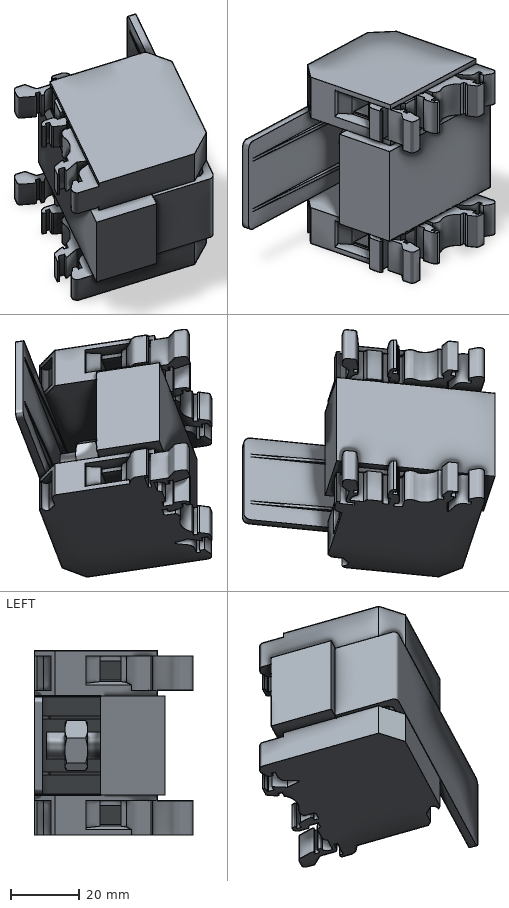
import cadquery as cq
import math

length = 68.0
back_y = 46.4

body_height = 10.05
plate_height = 1.55
block_height = 29.05
lower_plate_z = body_height
block_z = lower_plate_z + plate_height
middle_plate_z = block_z + block_height
upper_body_z = middle_plate_z + plate_height
upper_plate_z = upper_body_z + body_height
mid_z = block_z + block_height / 2

left_x = 24.35
right_x = 64.2
front_y = 10.5
corner_cut = 6.0
root_y = 10.8
hook_top_y = 18.0
groove_step_y = 41.55
seat_gap_y = 11.55

block_left_x = 21.0
block_front_y = 8.15
block_back_y = 27.0

bracket_height = 28.5
bracket_right_x = 64.95
bracket_wall = 2.05
bracket_plate = 2.3
bracket_outer_radius = 1.55
bracket_inner_radius = 2.05
tab_corner_radius = 2.0
bracket_z = mid_z - bracket_height / 2

rib_width = 0.95
rib_spacing = 16.3
rib_start_x = 2.1
rib_slope = 0.036

stud_diameter = 8.0
stud_top_y = 42.8
nut_across_flats = 12.9
nut_height = 6.65
nut_bottom_y = 30.8
nut_turn = 16.5
nut_chamfer_angle = 30.0

entry_floor = 1.55
slot_floor = 2.6
slot_x = 27.2
tunnel_x = 28.15
tunnel_depth = 6.8
tunnel_front_y = 21.0
tunnel_back_y = 27.2
tunnel_floor = 3.05
tunnel_ceiling = 8.65


def body_outline():
    """Plan of a terminal body, counter-clockwise from its back left corner."""
    outline = cq.Workplane("XY").moveTo(left_x + corner_cut, back_y)

    outline = outline.lineTo(29.4, 45.55)
    outline = outline.threePointArc((30.3, 45.3), (30.95, 44.4))
    outline = outline.lineTo(31.1, 43.7)
    outline = outline.lineTo(29.0, groove_step_y)
    outline = outline.lineTo(left_x + groove_step_y - (back_y - corner_cut), groove_step_y)
    outline = outline.lineTo(left_x, back_y - corner_cut)

    outline = outline.lineTo(left_x, hook_top_y)
    outline = outline.lineTo(23.3, 17.4)
    outline = outline.threePointArc((22.2, 16.5), (21.7, 15.5))
    outline = outline.polyline([(21.7, 12.25), (22.0, 11.9), (22.7, 11.9), (22.7, 13.0),
                                (slot_x, 13.0), (slot_x, 12.0), (25.3, 12.0)], includeCurrent=True)

    outline = outline.threePointArc((24.6, 11.7), (left_x, 11.0))
    outline = outline.lineTo(left_x, 6.7)
    outline = outline.threePointArc((24.3, 6.4), (24.1, 6.05))
    outline = outline.lineTo(21.95, 3.95)
    outline = outline.threePointArc((21.75, 3.75), (21.7, 3.5))
    outline = outline.lineTo(21.7, 0.95)
    outline = outline.threePointArc((22.0, 0.35), (22.65, 0))
    outline = outline.lineTo(24.6, 0)
    outline = outline.threePointArc((25.3, 0.3), (25.65, 0.8))
    outline = outline.polyline([(26.7, 4.75), (26.7, 5.4), (25.7, 5.4), (25.7, 6.7), (26.85, 6.7), (27.1, 6.5),
                                (27.1, 7.75), (26.5, 7.95)], includeCurrent=True)
    outline = outline.threePointArc((25.8, 9.0), (25.5, root_y))

    outline = outline.polyline([(29.45, root_y), (30.25, 9.6), (34.7, 9.6), (35.2, root_y)],
                               includeCurrent=True)

    outline = outline.polyline([(36.9, root_y), (36.9, 7.95), (36.0, 7.4), (36.0, 4.6)], includeCurrent=True)
    outline = outline.threePointArc((36.25, 3.7), (36.85, 2.9))
    outline = outline.polyline([(37.75, 2.85), (38.1, 3.95), (37.8, 4.2), (37.1, 4.2), (37.1, 5.4), (38.6, 5.4),
                                (39.0, 6.0), (39.65, 8.2), (39.8, 9.65), (39.4, 10.1), (38.55, 10.1),
                                (38.55, seat_gap_y)], includeCurrent=True)

    outline = outline.lineTo(40.45, seat_gap_y)
    outline = outline.threePointArc((40.95, 11.35), (41.15, 10.9))
    outline = outline.lineTo(41.15, 8.2)
    outline = outline.threePointArc((42.4, 7.3), (44.1, 7.5))
    outline = outline.threePointArc((48.15, 7.6), (50.6, 5.45))
    outline = outline.polyline([(52.15, 5.45), (52.15, 4.15), (51.5, 4.15), (51.5, 3.55), (52.55, 1.2)],
                               includeCurrent=True)
    outline = outline.threePointArc((52.9, 0.8), (53.45, 0.7))
    outline = outline.polyline([(55.7, 0.7), (55.7, 1.3), (54.25, 1.6), (54.05, 1.9), (54.05, 3.55), (55.5, 3.55),
                                (53.6, 7.6), (54.5, seat_gap_y), (54.9, seat_gap_y), (56.25, 8.2)],
                               includeCurrent=True)

    outline = outline.threePointArc((57.2, 7.0), (58.9, 6.5))
    outline = outline.polyline([(60.5, 6.5), (60.5, 5.4), (59.6, 5.4), (59.6, 3.95), (61.75, 2.65)],
                               includeCurrent=True)
    outline = outline.threePointArc((63.5, 2.85), (right_x, 4.4))

    outline = outline.lineTo(right_x, back_y - corner_cut)
    outline = outline.lineTo(right_x - corner_cut, back_y)
    return outline.close()


def wire_entry():
    """Funnel open towards -X and +Z, ending in a narrow slot and a closed tunnel."""
    funnel = (
        cq.Workplane("XY")
        .polyline([(left_x, 31.35), (25.85, 31.35), (slot_x, tunnel_back_y), (slot_x, tunnel_front_y),
                   (26.5, 19.45), (left_x, hook_top_y)])
        .close()
        .extrude(body_height)
    )
    above_floor = (
        cq.Workplane("XZ")
        .polyline([(left_x, entry_floor), (slot_x, slot_floor), (slot_x, body_height), (left_x, body_height)])
        .close()
        .extrude(-back_y)
    )
    tunnel_width = tunnel_back_y - tunnel_front_y
    slot = cq.Workplane("XY").box(
        tunnel_x - slot_x, tunnel_width, body_height - slot_floor, centered=False
    ).translate((slot_x, tunnel_front_y, slot_floor))
    tunnel = cq.Workplane("XY").box(
        tunnel_depth, tunnel_width, tunnel_ceiling - tunnel_floor, centered=False
    ).translate((tunnel_x, tunnel_front_y, tunnel_floor))
    return funnel.intersect(above_floor).union(slot).union(tunnel)


def terminal_body():
    return body_outline().extrude(body_height).cut(wire_entry())


def cover_plate():
    return (
        cq.Workplane("XY")
        .box(right_x - left_x, back_y - front_y, plate_height, centered=False)
        .translate((left_x, front_y, 0))
        .edges("|Z and >Y")
        .chamfer(corner_cut)
    )


def base_block():
    return (
        cq.Workplane("XY")
        .box(length - block_left_x, block_back_y - block_front_y, block_height, centered=False)
        .translate((block_left_x, block_front_y, block_z))
    )


wall_x = bracket_right_x - bracket_wall
plate_y = back_y - bracket_plate


def bracket_shell():
    shell = (
        cq.Workplane("XY", origin=(0, 0, bracket_z))
        .polyline([(0, back_y), (0, plate_y), (wall_x, plate_y), (wall_x, block_back_y),
                   (bracket_right_x, block_back_y), (bracket_right_x, back_y)])
        .close()
        .extrude(bracket_height)
    )
    shell = shell.edges("|Y and <X").fillet(tab_corner_radius)
    inner_corner = cq.selectors.NearestToPointSelector((wall_x, plate_y, mid_z))
    shell = shell.edges(inner_corner).fillet(bracket_inner_radius)
    outer_corner = cq.selectors.NearestToPointSelector((bracket_right_x, back_y, mid_z))
    return shell.edges(outer_corner).fillet(bracket_outer_radius)


def bracket_rib(center_z):
    """Thin web that grows along the plate and fades out along the wall."""
    wall_rise = rib_slope * (plate_y - block_back_y)
    plate_rise = rib_slope * (wall_x - rib_start_x)
    return (
        cq.Workplane("XY", origin=(0, 0, center_z - rib_width / 2))
        .polyline([(rib_start_x, plate_y), (wall_x - wall_rise, plate_y - plate_rise), (wall_x, block_back_y),
                   (bracket_right_x - bracket_wall / 2, block_back_y),
                   (bracket_right_x - bracket_wall / 2, back_y - bracket_plate / 2),
                   (rib_start_x, back_y - bracket_plate / 2)])
        .close()
        .extrude(rib_width)
    )


def along_y(start_y):
    """Workplane across the stud axis, with its normal towards +Y."""
    stud_x = (block_left_x + length) / 2
    return cq.Workplane(cq.Plane(origin=(stud_x, start_y, mid_z), xDir=(-1, 0, 0), normal=(0, 1, 0)))


def stud():
    return along_y(block_back_y).circle(stud_diameter / 2).extrude(stud_top_y - block_back_y)


def nut():
    flat_radius = nut_across_flats / 2
    corner_radius = flat_radius / math.cos(math.pi / 6)
    hexagon = (
        along_y(nut_bottom_y)
        .transformed(rotate=(0, 0, nut_turn))
        .polygon(6, 2 * corner_radius)
        .extrude(nut_height)
    )
    chamfer_height = (corner_radius - flat_radius) * math.tan(math.radians(nut_chamfer_angle))
    blank = along_y(nut_bottom_y).circle(corner_radius).extrude(nut_height)
    blank = blank.faces("<Y or >Y").chamfer(chamfer_height, corner_radius - flat_radius)
    return hexagon.intersect(blank)


result = base_block()
for z in (0, upper_body_z):
    result = result.union(terminal_body().translate((0, 0, z)))
for z in (lower_plate_z, middle_plate_z, upper_plate_z):
    result = result.union(cover_plate().translate((0, 0, z)))
result = result.union(bracket_shell())
for side in (-1, 1):
    result = result.union(bracket_rib(mid_z + side * rib_spacing / 2))
result = result.union(stud()).union(nut())